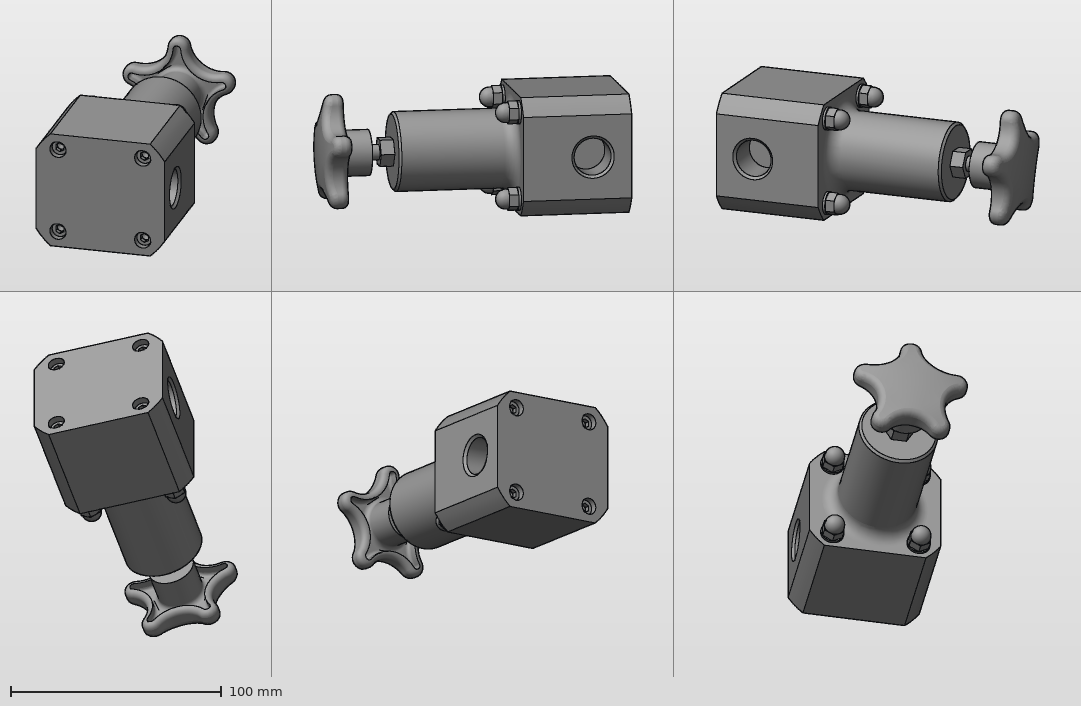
import cadquery as cq
import math

body_width = 63.5
body_height = 57.1
body_depth = 52.3
body_turned_diameter = 75.4

port_diameter = 17.8
port_mouth_diameter = 20.5
port_mouth_depth = 1.3
port_depth = 17.5
port_y = 18.7

screw_offset = 20.9
counterbore_diameter = 7.9
counterbore_depth = 9.0
screw_head_diameter = 7.5
screw_head_recess = 3.2
socket_width = 4.0
socket_depth = 2.6
socket_tip_diameter = 3.8
socket_tip_depth = 1.0
washer_diameter = 11.1
washer_thickness = 1.2
cap_nut_width = 9.5
cap_nut_hex_height = 4.4
cap_nut_collar_height = 1.2

housing_diameter = 38.1
housing_end_y = 109.9
housing_edge_chamfer = 1.2
housing_base_radius = 6.5

lock_nut_width = 12.7
lock_nut_end_y = 116.5
spindle_diameter = 7.5
hub_diameter = 22.0
hub_start_y = 121.3

overall_length = 146.1
wheel_base_y = 133.8
lobe_count = 5
lobe_radius = 5.1
lobe_center_radius = 23.4
valley_center_radius = 30.4
dome_radius = 95.0
wheel_top_fillet = 3.5
wheel_base_fillet = 2.9
pocket_inset = 3.2
pocket_floor_y = 139.1
pocket_floor_fillet = 1.8
hub_base_radius = 2.6

trim_allowance = 1.5

screw_positions = [(x, z) for x in (-screw_offset, screw_offset) for z in (-screw_offset, screw_offset)]


def plane_at(y, x=0.0, z=0.0):
    """Sketch plane facing +Y, with local x along X and local y along -Z."""
    return cq.Workplane(cq.Plane(origin=(x, y, z), xDir=(1, 0, 0), normal=(0, 1, 0)))


def cylinder(diameter, y_start, y_end, x=0.0, z=0.0):
    return plane_at(y_start, x, z).circle(diameter / 2).extrude(y_end - y_start)


def hexagon(width, y_start, y_end, x=0.0, z=0.0, turn=0.0):
    """Hexagonal prism; its corners point along X unless it is turned."""
    corner_diameter = width / math.cos(math.pi / 6)
    sketch = plane_at(y_start, x, z).transformed(rotate=(0, 0, turn))
    return sketch.polygon(6, corner_diameter).extrude(y_end - y_start)


def make_body():
    block = cq.Workplane("XY").box(body_width, body_depth, body_height).translate((0, body_depth / 2, 0))
    return block.intersect(cylinder(body_turned_diameter, 0, body_depth))


def make_port(side):
    """Cutter for a blind port with a chamfered mouth; side is -1 or +1 along X."""
    bore_radius = port_diameter / 2
    profile = [
        (0, 0),
        (port_mouth_diameter / 2, 0),
        (bore_radius, port_mouth_depth),
        (bore_radius, port_depth),
        (0, port_depth),
    ]
    plane = cq.Plane(origin=(side * body_width / 2, port_y, 0), xDir=(0, 1, 0), normal=(0, 0, side))
    outline = cq.Workplane(plane).polyline(profile).close()
    return outline.revolve(360, (0, 0, 0), (0, 1, 0))


def make_screw_recess(x, z):
    """Cutter for the counterbore around a sunk screw head with a hexagon socket."""
    counterbore = cylinder(counterbore_diameter, 0, counterbore_depth, x, z)
    head = cylinder(screw_head_diameter, screw_head_recess, counterbore_depth, x, z)
    socket_end = screw_head_recess + socket_depth
    socket = hexagon(socket_width, screw_head_recess, socket_end, x, z, turn=90)
    tip = cq.Workplane("XY").add(
        cq.Solid.makeCone(
            socket_tip_diameter / 2, 0, socket_tip_depth, cq.Vector(x, socket_end, z), cq.Vector(0, 1, 0)
        )
    )
    return counterbore.cut(head.cut(socket).cut(tip))


def make_cap_nut(x, z):
    washer_end = body_depth + washer_thickness
    hex_end = washer_end + cap_nut_hex_height
    collar_end = hex_end + cap_nut_collar_height
    nut = cylinder(washer_diameter, body_depth, washer_end, x, z)
    nut = nut.union(hexagon(cap_nut_width, washer_end, hex_end, x, z, turn=90))
    nut = nut.union(cylinder(cap_nut_width, hex_end, collar_end, x, z))
    dome = cq.Workplane("XY").sphere(cap_nut_width / 2).translate((x, collar_end, z))
    return nut.union(dome)


def flared_column(diameter, base_y, end_y, flare_radius):
    """Turned column along Y that widens into a concave flare at its base; it may point either way."""
    direction = math.copysign(1, end_y - base_y)
    radius = diameter / 2
    base_radius = radius + flare_radius
    flare_end_y = base_y + direction * flare_radius
    arc_reach = flare_radius * math.sqrt(0.5)
    arc_middle = (base_radius - arc_reach, flare_end_y - direction * arc_reach)
    profile = (
        cq.Workplane("XY")
        .moveTo(0, base_y)
        .lineTo(base_radius, base_y)
        .threePointArc(arc_middle, (radius, flare_end_y))
        .lineTo(radius, end_y)
        .lineTo(0, end_y)
        .close()
    )
    return profile.revolve(360, (0, 0, 0), (0, 1, 0))


def make_housing():
    housing = flared_column(housing_diameter, body_depth, housing_end_y, housing_base_radius)
    return housing.faces(">Y").edges().chamfer(housing_edge_chamfer)


def polar(radius, angle, center=(0.0, 0.0)):
    return (center[0] + radius * math.cos(angle), center[1] + radius * math.sin(angle))


def wheel_prism(inset, y_start, y_end):
    """Star-shaped prism of lobe arcs joined tangentially by valley arcs, drawn inset from the rim."""
    half_pitch = math.pi / lobe_count
    valley_x, valley_z = polar(valley_center_radius, half_pitch)
    center_distance = math.hypot(valley_x - lobe_center_radius, valley_z)
    tangent_angle = math.atan2(valley_z, valley_x - lobe_center_radius)
    tip_radius = lobe_radius - inset
    valley_radius = center_distance - tip_radius
    first_lobe_angle = -math.pi / 2

    lobe_center = polar(lobe_center_radius, first_lobe_angle)
    outline = plane_at(y_start).moveTo(*polar(tip_radius, first_lobe_angle - tangent_angle, lobe_center))
    for index in range(lobe_count):
        angle = first_lobe_angle + 2 * half_pitch * index
        next_angle = angle + 2 * half_pitch
        lobe_center = polar(lobe_center_radius, angle)
        next_center = polar(lobe_center_radius, next_angle)
        lobe_tip = polar(lobe_center_radius + tip_radius, angle)
        lobe_end = polar(tip_radius, angle + tangent_angle, lobe_center)
        valley_bottom = polar(valley_center_radius - valley_radius, angle + half_pitch)
        next_start = polar(tip_radius, next_angle - tangent_angle, next_center)
        outline = outline.threePointArc(lobe_tip, lobe_end).threePointArc(valley_bottom, next_start)
    return outline.close().extrude(y_end - y_start)


def make_handwheel():
    dome = cq.Workplane("XY").sphere(dome_radius).translate((0, overall_length - dome_radius, 0))
    wheel = wheel_prism(0, wheel_base_y, overall_length + trim_allowance).intersect(dome)
    wheel = wheel.faces(">Y").edges().fillet(wheel_top_fillet)
    wheel = wheel.faces("<Y").edges().fillet(wheel_base_fillet)
    hub = flared_column(hub_diameter, pocket_floor_y, hub_start_y, hub_base_radius)
    pocket = wheel_prism(pocket_inset, wheel_base_y, pocket_floor_y)
    pocket = pocket.faces(">Y").edges().fillet(pocket_floor_fillet)
    return wheel.cut(pocket.cut(hub)).union(hub)


result = make_body()
for side in (-1, 1):
    result = result.cut(make_port(side))
result = result.union(make_housing())
for x, z in screw_positions:
    result = result.cut(make_screw_recess(x, z))
    result = result.union(make_cap_nut(x, z))
result = result.union(hexagon(lock_nut_width, housing_end_y, lock_nut_end_y))
result = result.union(cylinder(spindle_diameter, lock_nut_end_y, hub_start_y))
result = result.union(make_handwheel())